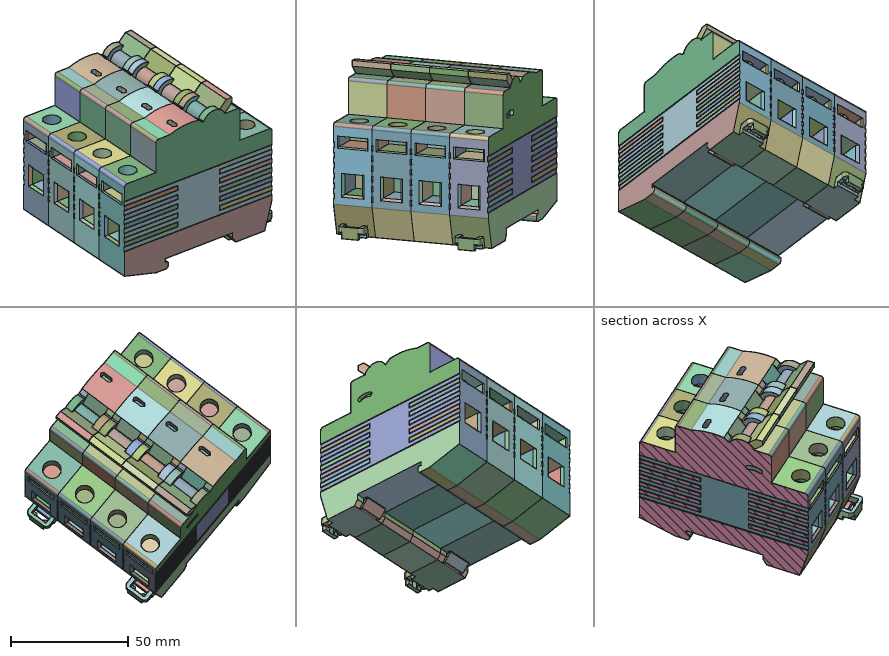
import cadquery as cq
import math

total_width = 71.2
total_depth = 82.5
total_height = 72.35
module_count = 4
module_width = total_width / module_count
module_middle = module_width / 2
clip_modules = (0, module_count - 1)

housing_depth = 79.2
terminal_top = 49.7
tower_front = 16.8
tower_back = 62.0
tower_top = 65.75
corner_radius = 1.5
hump_front = 24.25
hump_crest = 35.2
hump_back = 39.8
hump_top = 67.8
hump_valley = 41.75
rail_top = 5.2
rail_front = 21.95
rail_back = 58.1
hook_tip = 23.6
hook_top = 3.5
hook_top_radius = 1.0
hook_bottom_radius = 1.5
nose_bottom = 17.1
nose_top = 4.3
back_slope_top = 14.0
back_slope_bottom = 75.2
latch_wall_bottom = 2.6
latch_wall_foot = 59.7

axis_y = 48.2
axis_z = 63.0
disc_radius = 6.35
disc_width = 3.55
barrel_radius = 4.2
well_drop = 0.7
lever_back = 57.75
lever_half_thickness = 2.0
lever_side_gap = 0.1

hump_run = hump_crest - hump_front
hump_rise = hump_top - tower_top
hump_radius = (hump_run**2 + hump_rise**2) / (2 * hump_rise)
hump_back_z = hump_top - hump_radius + math.sqrt(hump_radius**2 - (hump_back - hump_crest) ** 2)
well_front = axis_y - barrel_radius
well_floor = axis_z - well_drop

screw_diameter = 7.9
front_screw_y = 8.5
back_screw_y = 71.8

label_window = {"width": 14.2, "bottom": 38.8, "top": 44.05, "bevel": 0.6}
wire_window = {"width": 10.2, "bottom": 17.4, "top": 27.8, "bevel": 1.1}
window_depth = 13.2

indicator_length = 5.7
indicator_width = 2.3
indicator_x = 12.8
indicator_y = 29.4
indicator_floor = 62.7

side_slot_y = 53.9
side_slot_z = 54.8
side_slot_bend = 7.4
side_slot_width = 2.2
side_slot_half_angle = 22.0
side_slot_depth = 1.65

panel_bottom = 16.4
panel_top = 41.2
panel_depth = 0.3
rib_count = 5
rib_pitch = (panel_top - panel_bottom) / (rib_count + 0.5)
rib_height = rib_pitch / 2
front_rib_length = 28.7
back_rib_length = 28.05

clip_width = 11.5
clip_wall = 1.9
clip_bottom = 2.0
clip_inner_end = 80.85
clip_corner_radius = 2.0
clip_tab_front = 80.5
clip_end_bottom = 3.0
clip_block_back = 77.7
clip_frame_front = 70.95
clip_wedge_run = 1.8
clip_gap_narrow = 2.6
clip_gap_wide = 4.5
latch_seat = 56.4
latch_seat_bottom = 4.0
latch_tip = 54.95
latch_tip_bottom = 3.55
latch_foot = 58.3
latch_block_width = 9.8


def side_prism(sketch, x_start, x_end):
    """Extrude a closed (Y, Z) sketch from x_start to x_end."""
    return sketch.extrude(x_end - x_start).translate((x_start, 0, 0))


def x_cylinder(radius, x_start, x_end):
    """Cylinder on the toggle axis."""
    return side_prism(cq.Workplane("YZ").center(axis_y, axis_z).circle(radius), x_start, x_end)


def rounded_corner(path, corner, start, end):
    """Continue a path with a quarter round of corner_radius that replaces a square corner."""
    centre = (start[0] + end[0] - corner[0], start[1] + end[1] - corner[1])
    reach = 1 / math.sqrt(2)
    middle = tuple(c + reach * (s - c) + reach * (e - c) for c, s, e in zip(centre, start, end))
    return path.lineTo(*start).threePointArc(middle, end)


def housing_blank():
    r = corner_radius
    path = (
        cq.Workplane("YZ")
        .moveTo(nose_bottom, 0)
        .lineTo(0, nose_top)
    )
    path = rounded_corner(path, (0, terminal_top), (0, terminal_top - r), (r, terminal_top))
    path = path.lineTo(tower_front, terminal_top)
    path = rounded_corner(
        path, (tower_front, tower_top), (tower_front, tower_top - r), (tower_front + r, tower_top)
    )
    path = (
        path.lineTo(hump_front, tower_top)
        .threePointArc((hump_crest, hump_top), (hump_back, hump_back_z))
        .lineTo(hump_valley, tower_top)
    )
    path = rounded_corner(
        path, (tower_back, tower_top), (tower_back - r, tower_top), (tower_back, tower_top - r)
    )
    path = path.lineTo(tower_back, terminal_top)
    path = rounded_corner(
        path,
        (housing_depth, terminal_top),
        (housing_depth - r, terminal_top),
        (housing_depth, terminal_top - r),
    )
    path = (
        path.lineTo(housing_depth, back_slope_top)
        .lineTo(back_slope_bottom, 0)
        .lineTo(latch_wall_foot, 0)
        .lineTo(rail_back, latch_wall_bottom)
        .lineTo(rail_back, rail_top)
        .lineTo(rail_front, rail_top)
        .lineTo(rail_front, hook_top)
        .lineTo(hook_tip - hook_top_radius, hook_top)
        .tangentArcPoint((hook_top_radius, -hook_top_radius))
        .lineTo(hook_tip, hook_bottom_radius)
        .tangentArcPoint((-hook_bottom_radius, -hook_bottom_radius))
        .close()
    )
    return side_prism(path, 0, module_width)


def add_toggle(body):
    body = body.union(x_cylinder(disc_radius, 0, disc_width))
    body = body.union(x_cylinder(disc_radius, module_width - disc_width, module_width))

    well_back = axis_y + disc_radius
    well = (
        cq.Workplane("YZ")
        .moveTo(hump_back, hump_back_z)
        .lineTo(well_front, well_floor)
        .lineTo(axis_y, well_floor)
        .lineTo(axis_y, tower_top)
        .lineTo(well_back, tower_top)
        .lineTo(well_back, total_height)
        .lineTo(hump_back, total_height)
        .close()
    )
    body = body.cut(side_prism(well, disc_width, module_width - disc_width))
    body = body.union(x_cylinder(barrel_radius, disc_width, module_width - disc_width))

    offset = lever_half_thickness * math.sqrt(2)
    axis_shift = axis_z - axis_y
    top_y = total_height - axis_shift - offset
    back_z = lever_back + axis_shift - offset
    root = lever_half_thickness / math.sqrt(2)
    lever = (
        cq.Workplane("YZ")
        .moveTo(axis_y - root, axis_z + root)
        .lineTo(top_y, total_height)
        .lineTo(lever_back, total_height)
        .lineTo(lever_back, back_z)
        .lineTo(axis_y + root, axis_z - root)
        .close()
    )
    return body.union(side_prism(lever, lever_side_gap, module_width - lever_side_gap))


def cut_screw_holes(body):
    places = [(module_middle, front_screw_y), (module_middle, back_screw_y)]
    holes = (
        cq.Workplane("XY", origin=(0, 0, label_window["top"]))
        .pushPoints(places)
        .circle(screw_diameter / 2)
        .extrude(terminal_top - label_window["top"])
    )
    return body.cut(holes)


def front_window(width, bottom, top, bevel):
    """Deep window with bevelled sides and sill and a level lintel."""
    inner_width = width - 2 * bevel
    inner_bottom = bottom + bevel
    mouth = (
        cq.Workplane("XZ")
        .center(module_middle, (bottom + top) / 2)
        .rect(width, top - bottom)
        .workplane(offset=-bevel)
        .center(0, bevel / 2)
        .rect(inner_width, top - inner_bottom)
        .loft(ruled=True)
    )
    pocket = cq.Workplane("XY").box(
        inner_width, window_depth, top - inner_bottom, centered=(True, False, False)
    )
    return mouth.union(pocket.translate((module_middle, 0, inner_bottom)))


def cut_windows(body):
    for window in (label_window, wire_window):
        front = front_window(**window)
        back = front.mirror("XZ").translate((0, housing_depth, 0))
        body = body.cut(front).cut(back)
    return body


def cut_indicator(body):
    slot = (
        cq.Workplane("XY", origin=(indicator_x, indicator_y, indicator_floor))
        .slot2D(indicator_length, indicator_width)
        .extrude(hump_top - indicator_floor)
    )
    return body.cut(slot)


def cut_side_slot(body):
    def on_arc(radius, degrees):
        angle = math.radians(degrees)
        bend_centre_z = side_slot_z - side_slot_bend
        return (side_slot_y + radius * math.sin(angle), bend_centre_z + radius * math.cos(angle))

    half = side_slot_half_angle
    outer = side_slot_bend + side_slot_width / 2
    inner = side_slot_bend - side_slot_width / 2
    end_angle = half + math.degrees(side_slot_width / 2 / side_slot_bend)
    slot = (
        cq.Workplane("YZ")
        .moveTo(*on_arc(outer, -half))
        .threePointArc(on_arc(outer, 0), on_arc(outer, half))
        .threePointArc(on_arc(side_slot_bend, end_angle), on_arc(inner, half))
        .threePointArc(on_arc(inner, 0), on_arc(inner, -half))
        .threePointArc(on_arc(side_slot_bend, -end_angle), on_arc(outer, -half))
        .close()
    )
    return body.cut(side_prism(slot, 0, side_slot_depth))


def side_panel():
    """Shallow recess in the side face at X = 0, less the ribs left standing at both ends."""
    panel = cq.Workplane("XY").box(
        panel_depth, housing_depth, panel_top - panel_bottom, centered=False
    ).translate((0, 0, panel_bottom))
    for length, start in ((front_rib_length, 0), (back_rib_length, housing_depth - back_rib_length)):
        rib = cq.Workplane("XY").box(panel_depth, length, rib_height, centered=False)
        for index in range(rib_count):
            rib_z = panel_bottom + rib_height + index * rib_pitch
            panel = panel.cut(rib.translate((0, start, rib_z)))
    return panel


def cut_side_panels(body):
    near = side_panel()
    far = near.mirror("YZ").translate((module_width, 0, 0))
    return body.cut(near).cut(far)


def clip_frame():
    """Pull loop behind the housing with a finger opening and a tab along its end."""
    left = module_middle - clip_width / 2
    profile = (
        cq.Workplane("YZ")
        .moveTo(clip_frame_front, 0)
        .lineTo(clip_block_back, 0)
        .lineTo(clip_block_back, clip_bottom)
        .lineTo(clip_tab_front, clip_bottom)
        .lineTo(total_depth, clip_end_bottom)
        .lineTo(total_depth, rail_top)
        .lineTo(clip_frame_front, rail_top)
        .close()
    )
    frame = side_prism(profile, left, left + clip_width)
    frame = frame.edges("|Z and >Y").fillet(clip_corner_radius)
    tab = cq.Workplane("XY").box(
        clip_width - 2 * clip_corner_radius,
        total_depth - clip_tab_front,
        clip_end_bottom,
        centered=(True, False, False),
    )
    frame = frame.union(tab.translate((module_middle, clip_tab_front, 0)))

    opening_width = clip_width - 2 * clip_wall
    wedge_front = clip_inner_end - clip_wedge_run
    opening = (
        cq.Workplane("YZ")
        .moveTo(back_slope_bottom, clip_bottom)
        .lineTo(wedge_front, clip_bottom)
        .lineTo(clip_inner_end, clip_bottom + clip_wedge_run)
        .lineTo(clip_inner_end, rail_top)
        .lineTo(back_slope_bottom, rail_top)
        .close()
    )
    opening_left = module_middle - opening_width / 2
    frame = frame.cut(side_prism(opening, opening_left, opening_left + opening_width))
    notch = (
        cq.Workplane("XY")
        .moveTo(module_middle - clip_gap_narrow / 2, clip_inner_end)
        .lineTo(module_middle + clip_gap_narrow / 2, clip_inner_end)
        .lineTo(module_middle + clip_gap_wide / 2, wedge_front)
        .lineTo(module_middle - clip_gap_wide / 2, wedge_front)
        .close()
        .extrude(rail_top)
    )
    return frame.cut(notch)


def clip_latch():
    """Bevelled nose that reaches under the rail, backed by a narrower block."""
    nose = (
        cq.Workplane("YZ")
        .moveTo(latch_wall_foot, 0)
        .lineTo(latch_foot, 0)
        .lineTo(latch_tip, latch_tip_bottom)
        .lineTo(latch_tip, latch_seat_bottom)
        .lineTo(latch_seat, latch_seat_bottom)
        .close()
    )
    block = (
        cq.Workplane("YZ")
        .moveTo(latch_wall_foot, 0)
        .lineTo(latch_seat, latch_seat_bottom)
        .lineTo(latch_seat, rail_top)
        .lineTo(latch_wall_foot, rail_top)
        .close()
    )
    nose_left = module_middle - clip_width / 2
    block_left = module_middle - latch_block_width / 2
    nose_solid = side_prism(nose, nose_left, nose_left + clip_width)
    return nose_solid.union(side_prism(block, block_left, block_left + latch_block_width))


def breaker_module(has_clip):
    body = add_toggle(housing_blank())
    body = cut_screw_holes(body)
    body = cut_windows(body)
    body = cut_indicator(body)
    body = cut_side_slot(body)
    body = cut_side_panels(body)
    if has_clip:
        body = body.union(clip_frame()).union(clip_latch())
    return body


modules = []
for position in range(module_count):
    module_left = position * module_width - total_width / 2
    module = breaker_module(position in clip_modules)
    modules.append(module.translate((module_left, 0, 0)).val())

result = cq.Compound.makeCompound(modules)